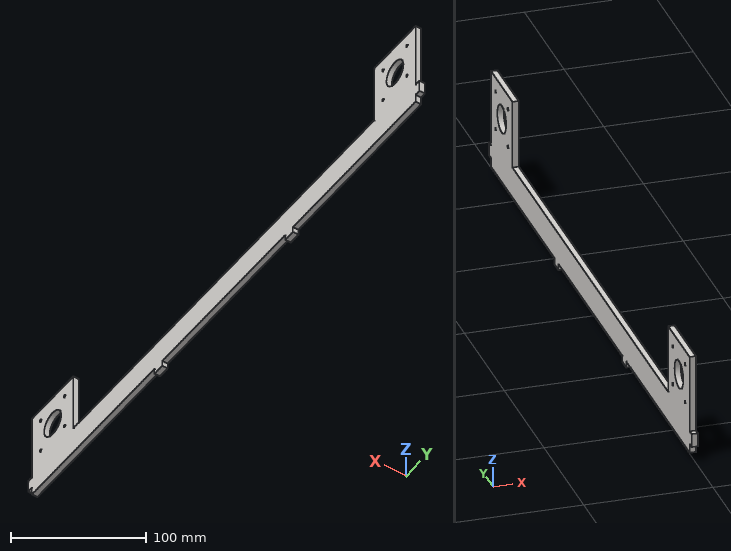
import cadquery as cq

overall_length = 510.0
thickness = 5.0
tab_depth = 5.0
tab_width = 10.0
end_tab_height = 10.5
rail_height = 25.0
upright_width = 54.0
total_height = 84.0
bottom_tab_offset = 85.0
bore_diameter = 22.0
screw_diameter = 2.0
screw_pitch = 31.0

body_length = overall_length - 2 * tab_depth
top_z = total_height - tab_depth
end_tab_z = rail_height / 2
mount_y = (body_length - upright_width) / 2
mount_z = top_z - upright_width / 2


def plate(center_y, bottom_z, width, height):
    """Rectangular piece of the plate, standing on bottom_z."""
    return (
        cq.Workplane("XY")
        .box(thickness, width, height, centered=(True, True, False))
        .translate((0, center_y, bottom_z))
    )


def hole_cutters(diameter, centers):
    """Cylinders running through the plate thickness at (Y, Z) centers."""
    return (
        cq.Workplane("YZ")
        .pushPoints(centers)
        .circle(diameter / 2)
        .extrude(thickness, both=True)
    )


result = plate(0, 0, body_length, rail_height)
result = result.union(plate(0, end_tab_z - end_tab_height / 2, overall_length, end_tab_height))

for side in (-1, 1):
    result = result.union(plate(side * mount_y, 0, upright_width, top_z))
    result = result.union(plate(side * bottom_tab_offset, -tab_depth, tab_width, tab_depth + rail_height))

bore_centers = [(side * mount_y, mount_z) for side in (-1, 1)]
screw_centers = [
    (y + dy * screw_pitch / 2, z + dz * screw_pitch / 2)
    for y, z in bore_centers
    for dy in (-1, 1)
    for dz in (-1, 1)
]
result = result.cut(hole_cutters(bore_diameter, bore_centers))
result = result.cut(hole_cutters(screw_diameter, screw_centers)).clean()